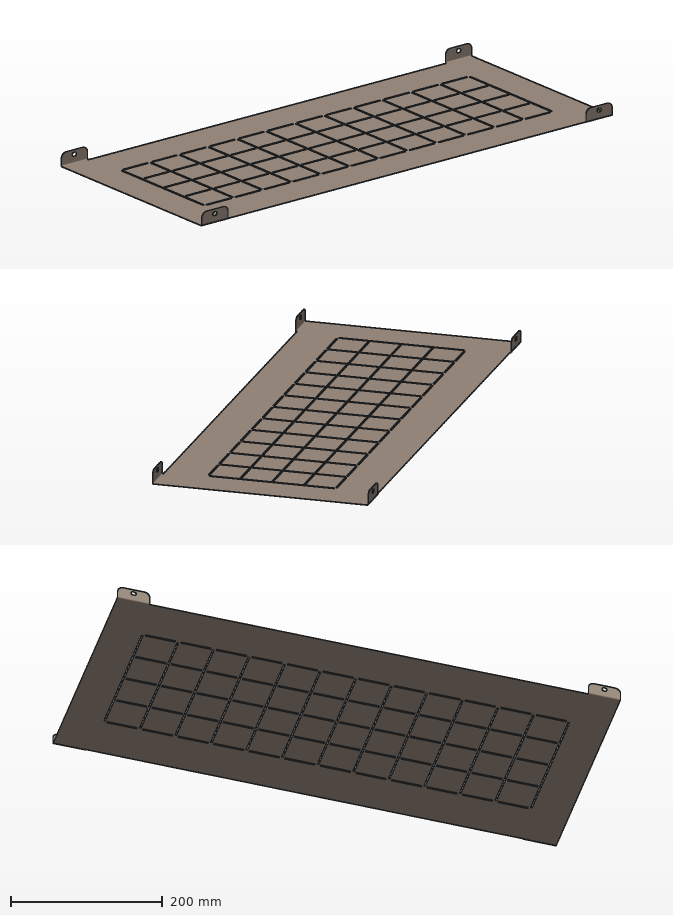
import cadquery as cq

panel_width = 298.0
panel_length = 693.0
tab_height = 19.5
sheet = 0.8

bend_inner_radius = 1.2
bend_outer_radius = bend_inner_radius + sheet
tab_length = 44.5
tab_corner_radius = 8.0
tab_hole_length = 7.0
tab_hole_height = 5.5
tab_hole_below_top = 6.6
tab_hole_z = tab_height - tab_hole_below_top

columns = 4
rows = 12
grid_width = 176.0
grid_length = 588.0
slot_width = 2.0
corner_gap = 1.05
bridge = 3.0

column_pitch = grid_width / columns
row_pitch = grid_length / rows
cross_slot_length = grid_width - slot_width - 2 * corner_gap
long_slot_length = row_pitch - slot_width - 2 * bridge


def centred_positions(count, pitch):
    """Evenly spaced positions, symmetric about zero."""
    return [(i - (count - 1) / 2) * pitch for i in range(count)]


def slot_cutter(length_x, length_y, centres):
    """Rectangular through-cuts at the given centres."""
    return (
        cq.Workplane("XY")
        .pushPoints(centres)
        .rect(length_x, length_y)
        .extrude(sheet)
    )


def flat_panel():
    """Flat sheet between the two bend lines."""
    flat_width = panel_width - 2 * bend_outer_radius
    return cq.Workplane("XY").box(flat_width, panel_length, sheet, centered=(True, True, False))


def right_tab():
    """Tab on the +X edge, centred on Y = 0: quarter-round bend, upright wall, slotted hole."""
    outer_x = panel_width / 2
    inner_x = outer_x - sheet
    bend_x = outer_x - bend_outer_radius
    bend_z = bend_outer_radius
    tab = (
        cq.Workplane("XZ")
        .moveTo(bend_x, 0)
        .radiusArc((outer_x, bend_z), -bend_outer_radius)
        .lineTo(outer_x, tab_height)
        .lineTo(inner_x, tab_height)
        .lineTo(inner_x, bend_z)
        .radiusArc((bend_x, sheet), bend_inner_radius)
        .close()
        .extrude(tab_length / 2, both=True)
    )
    tab = tab.faces(">Z").edges("|X").fillet(tab_corner_radius)
    hole = (
        cq.Workplane("YZ", origin=(bend_x, 0, tab_hole_z))
        .slot2D(tab_hole_length, tab_hole_height)
        .extrude(2 * bend_outer_radius)
    )
    return tab.cut(hole)


def panel_with_tabs():
    """Flat sheet with a tab at each end of both long edges."""
    body = flat_panel()
    tab_y = (panel_length - tab_length) / 2
    for y in (-tab_y, tab_y):
        tab = right_tab().translate((0, y, 0))
        body = body.union(tab).union(tab.mirror("YZ"))
    return body


row_lines = centred_positions(rows + 1, row_pitch)
column_lines = centred_positions(columns + 1, column_pitch)
row_centres = centred_positions(rows, row_pitch)

cross_slots = slot_cutter(cross_slot_length, slot_width, [(0, y) for y in row_lines])

long_slots = slot_cutter(
    slot_width,
    long_slot_length,
    [(x, y) for x in column_lines for y in row_centres],
)

result = panel_with_tabs().cut(cross_slots).cut(long_slots)